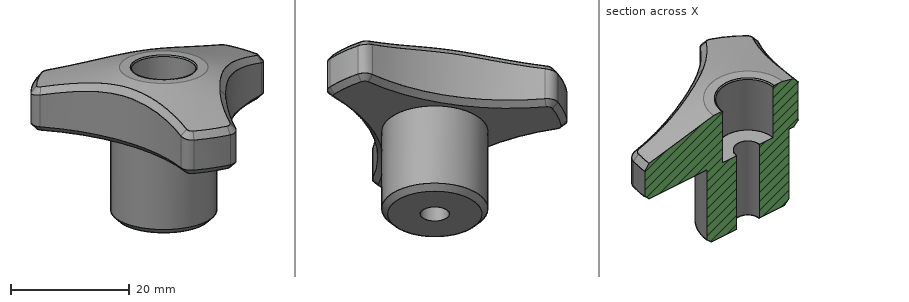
import cadquery as cq
import math

arm_count = 3
tip_radius = 22.5
waist_radius = 10.95
flank_radius = 34.15
corner_radius = 2.0
edge_chamfer = 1.0

total_height = 27.0
head_height = 11.1
stem_length = total_height - head_height
stem_diameter = 18.0

top_flat_diameter = 15.0
crown_slope = 0.24

bore_diameter = 10.9
bore_depth = head_height
bore_chamfer = 0.2
through_hole_diameter = 4.95


def make_crown():
    """Solid of revolution with a flat top and a conical shoulder."""
    flat_radius = top_flat_diameter / 2
    outer_radius = tip_radius + edge_chamfer
    rim_height = head_height - crown_slope * (outer_radius - flat_radius)
    profile = [
        (0, 0),
        (outer_radius, 0),
        (outer_radius, rim_height),
        (flat_radius, head_height),
        (0, head_height),
    ]
    return cq.Workplane("XZ").polyline(profile).close().revolve(360, (0, 0), (0, 1))


def make_head():
    """Disc with three scooped flanks, a conical crown and chamfered rims."""
    head = cq.Workplane("XY").circle(tip_radius).extrude(head_height)
    scoop_distance = waist_radius + flank_radius
    for index in range(arm_count):
        angle = math.radians(-90 + index * 360 / arm_count)
        center = (scoop_distance * math.cos(angle), scoop_distance * math.sin(angle))
        scoop = cq.Workplane("XY").center(*center).circle(flank_radius).extrude(head_height)
        head = head.cut(scoop)
    head = head.edges("|Z").fillet(corner_radius)
    head = head.intersect(make_crown())
    head = head.faces("<Z").edges().chamfer(edge_chamfer)
    rim = head.faces("%CONE").faces(">Z").edges("%BSPLINE")
    return rim.chamfer(edge_chamfer)


def make_stem():
    stem = cq.Workplane("XY").circle(stem_diameter / 2).extrude(-stem_length)
    return stem.faces("<Z").chamfer(edge_chamfer)


def cut_bore(body):
    """Stepped axial hole with a small chamfer at its mouth."""
    top = cq.Workplane("XY").workplane(offset=head_height)
    bore = top.circle(bore_diameter / 2).extrude(-bore_depth)
    hole = top.circle(through_hole_diameter / 2).extrude(-total_height)
    mouth = cq.Workplane(
        cq.Solid.makeCone(
            bore_diameter / 2,
            bore_diameter / 2 + bore_chamfer,
            bore_chamfer,
            pnt=cq.Vector(0, 0, head_height - bore_chamfer),
        )
    )
    return body.cut(bore).cut(hole).cut(mouth)


result = cut_bore(make_head().union(make_stem()))